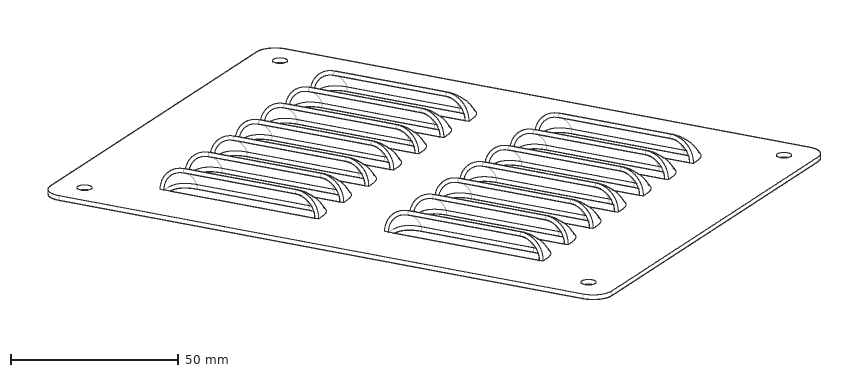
import cadquery as cq
import math

plate_length = 190.5
plate_width = 142.9
sheet_thickness = 1.5
corner_radius = 6.3

hole_diameter = 4.5
hole_edge_distance = 9.7

hood_height = 7.8
hood_straight_length = 38.1
hood_wall = 1.3
slope_radius = 17.1
lip_slope = math.radians(17)

column_count = 2
column_pitch = 76.2
row_count = 7
row_pitch = 15.8
lip_offset = 4.8

inner_slope_radius = slope_radius - hood_wall
inner_height = hood_height - hood_wall * math.cos(lip_slope)
slope_centre_y = -inner_slope_radius * math.sin(lip_slope)
slope_centre_z = hood_height - slope_radius * math.cos(lip_slope)
half_straight = hood_straight_length / 2


def slope_point(angle):
    """Point on the inner slope arc, with the angle measured from +Z towards +Y."""
    y = slope_centre_y + inner_slope_radius * math.sin(angle)
    z = slope_centre_z + inner_slope_radius * math.cos(angle)
    return 0, y, z


def hood_core():
    """Solid filling the space under the inner skin, running on below the base by the sheet thickness."""
    path_end = math.acos((-sheet_thickness - slope_centre_z) / inner_slope_radius)
    path = cq.Workplane("XY").add(
        cq.Edge.makeThreePointArc(
            cq.Vector(*slope_point(lip_slope)),
            cq.Vector(*slope_point((lip_slope + path_end) / 2)),
            cq.Vector(*slope_point(path_end)),
        )
    )
    half_length = half_straight + inner_height
    round_x = half_straight + inner_height * math.sqrt(0.5)
    round_z = inner_height * math.sqrt(0.5)
    mouth = (
        cq.Workplane("XZ")
        .moveTo(-half_length, -inner_height)
        .lineTo(-half_length, 0)
        .threePointArc((-round_x, round_z), (-half_straight, inner_height))
        .lineTo(half_straight, inner_height)
        .threePointArc((round_x, round_z), (half_length, 0))
        .lineTo(half_length, -inner_height)
        .close()
    )
    return mouth.sweep(path, normal=(0, -1, 0))


def above_base(body):
    """Part of the body above z = 0."""
    below = cq.Workplane("XY").rect(plate_length, plate_width).extrude(-plate_width)
    return body.cut(below)


def hood_skin(core):
    """Sheet wall laid on the curved top of the core, its lip square to the sheet."""
    top_faces = [face for face in core.faces("%BSPLINE").vals() if face.normalAt().z > 0]
    sheet = cq.occ_impl.shapes.offset(cq.occ_impl.shapes.shell(*top_faces), hood_wall, cap=True)
    return above_base(cq.Workplane("XY").add(sheet))


def plate_opening(core):
    """Cutter carrying the footprint of the core straight down through the plate."""
    footprint = above_base(core).faces("<Z").wires().val()
    return cq.Workplane("XY").add(footprint).toPending().extrude(-sheet_thickness)


def louvre_grid(body):
    """Copies of the body at every louvre position, with its base on the plate."""
    return (
        cq.Workplane("XY", origin=(0, -lip_offset, sheet_thickness))
        .rarray(column_pitch, row_pitch, column_count, row_count)
        .eachpoint(body.val(), combine=False)
    )


plate = (
    cq.Workplane("XY")
    .box(plate_length, plate_width, sheet_thickness, centered=(True, True, False))
    .edges("|Z")
    .fillet(corner_radius)
    .faces(">Z")
    .workplane()
    .rect(plate_length - 2 * hole_edge_distance, plate_width - 2 * hole_edge_distance, forConstruction=True)
    .vertices()
    .hole(hole_diameter)
)

core = hood_core()
result = plate.cut(louvre_grid(plate_opening(core))).union(louvre_grid(hood_skin(core)))